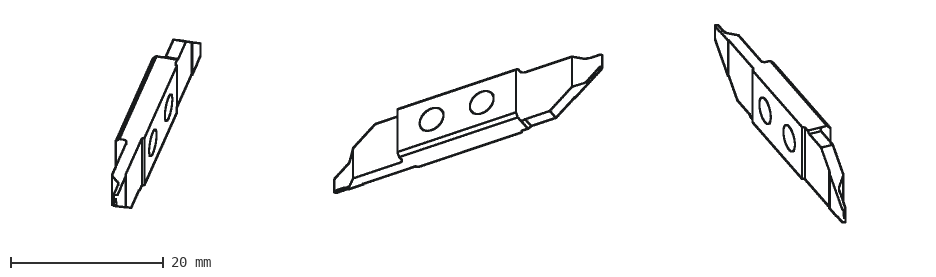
import cadquery as cq
import math

WIDTH = 3.6
LENGTH = 40.0
HEIGHT = 8.0
HALF_LENGTH = LENGTH / 2
HALF_HEIGHT = HEIGHT / 2

X_SIDE = -WIDTH / 2
BODY_HALF_LENGTH = 8.86
BODY_CHAMFER = 0.5
PAD_HALF_LENGTH = 7.7
PAD_STEP = 0.3

HOLE_DIAMETER = 3.55
HOLE_SPACING = 7.5

NECK_INSET = 1.6
NECK_X = X_SIDE + NECK_INSET
NECK_BACK_X = -X_SIDE - PAD_STEP
NECK_FILLET = 0.5
NECK_DROP = 0.25

TIP_WIDTH = 0.5
TIP_BACK_STEP = 0.1
TIP_BACK_LENGTH = 4.22
TIP_BACK_X = NECK_BACK_X + TIP_BACK_STEP
TIP_X = TIP_BACK_X - TIP_WIDTH
TIP_CORNER_RADIUS = TIP_WIDTH / 2
TIP_FILLET = 0.4
SHOULDER_ANGLE = 45.0
SHOULDER_START = 16.35
TIP_HEIGHT = 1.9
SLOPE_ANGLE = 39.7
END_RELIEF_ANGLE = 1.0

RAKE_DEPTH = 0.1
RAKE_START = 1.98
RAKE_FLAT_START = 1.6


def make_plan_half():
    """The +Y half of the thickness profile, extruded over the full height."""
    neck_start = BODY_HALF_LENGTH + NECK_FILLET
    shoulder_angle = math.radians(SHOULDER_ANGLE)
    shoulder_end = SHOULDER_START + (TIP_X - NECK_X) / math.tan(shoulder_angle)
    tip_back_start = HALF_LENGTH - TIP_BACK_LENGTH

    half_turn = shoulder_angle / 2
    tangent = TIP_FILLET * math.tan(half_turn)
    tangent_x = tangent * math.sin(shoulder_angle)
    tangent_y = tangent * math.cos(shoulder_angle)
    arc_center_x = TIP_X - TIP_FILLET
    arc_end_y = shoulder_end + tangent
    arc_middle = (
        arc_center_x + TIP_FILLET * math.cos(half_turn),
        arc_end_y - TIP_FILLET * math.sin(half_turn),
    )

    profile = (
        cq.Workplane("XY", origin=(0, 0, -HALF_HEIGHT))
        .moveTo(X_SIDE, 0)
        .lineTo(X_SIDE, BODY_HALF_LENGTH)
        .lineTo(NECK_X - NECK_FILLET, BODY_HALF_LENGTH)
        .radiusArc((NECK_X, neck_start), -NECK_FILLET)
        .lineTo(NECK_X, SHOULDER_START)
        .lineTo(TIP_X - tangent_x, shoulder_end - tangent_y)
        .threePointArc(arc_middle, (TIP_X, arc_end_y))
        .lineTo(TIP_X, HALF_LENGTH - TIP_CORNER_RADIUS)
        .radiusArc((TIP_X + TIP_CORNER_RADIUS, HALF_LENGTH), TIP_CORNER_RADIUS)
        .radiusArc((TIP_BACK_X, HALF_LENGTH - TIP_CORNER_RADIUS), TIP_CORNER_RADIUS)
        .lineTo(TIP_BACK_X, tip_back_start)
        .lineTo(NECK_BACK_X, tip_back_start)
        .lineTo(NECK_BACK_X, PAD_HALF_LENGTH + PAD_STEP)
        .lineTo(-X_SIDE, PAD_HALF_LENGTH)
        .lineTo(-X_SIDE, 0)
        .close()
    )
    return profile.extrude(HEIGHT)


def make_side_half():
    """The +Y half of the side outline, extruded over the full width."""
    neck_top = HALF_HEIGHT - NECK_DROP
    rake_z = -HALF_HEIGHT + RAKE_DEPTH
    slope_end_z = rake_z + TIP_HEIGHT
    slope_end_y = HALF_LENGTH - TIP_HEIGHT * math.tan(math.radians(END_RELIEF_ANGLE))
    slope_run = (neck_top - slope_end_z) / math.tan(math.radians(SLOPE_ANGLE))

    outline = [
        (0, -HALF_HEIGHT),
        (HALF_LENGTH - RAKE_START, -HALF_HEIGHT),
        (HALF_LENGTH - RAKE_FLAT_START, rake_z),
        (HALF_LENGTH, rake_z),
        (slope_end_y, slope_end_z),
        (slope_end_y - slope_run, neck_top),
        (BODY_HALF_LENGTH + NECK_FILLET, neck_top),
        (BODY_HALF_LENGTH, HALF_HEIGHT),
        (0, HALF_HEIGHT),
    ]
    return cq.Workplane("YZ", origin=(X_SIDE, 0, 0)).polyline(outline).close().extrude(WIDTH)


def chamfer_body(blank):
    """Bevel the long top and bottom edges of the body on its -X face."""
    return blank.faces("<X").edges("|Y").chamfer(BODY_CHAMFER)


def drill_holes(body):
    """Cut the two through holes."""
    holes = (
        cq.Workplane("YZ", origin=(X_SIDE, 0, 0))
        .pushPoints([(-HOLE_SPACING / 2, 0), (HOLE_SPACING / 2, 0)])
        .circle(HOLE_DIAMETER / 2)
        .extrude(WIDTH)
    )
    return body.cut(holes)


half = make_plan_half().intersect(make_side_half())
other_half = half.rotate((0, 0, 0), (1, 0, 0), 180)
blank = half.union(other_half).clean()
result = drill_holes(chamfer_body(blank))